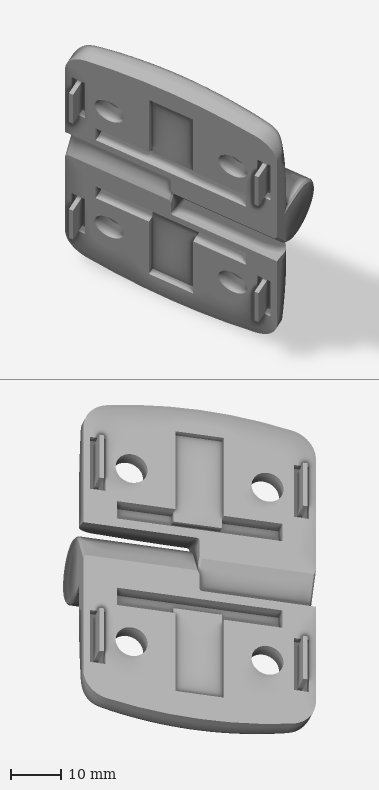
import cadquery as cq
import math

length = 71.5
half_length = length / 2
width = 48.0
half_width = width / 2
margin = 0.1


end_arc_radius = 99.0
corner_radius = 6.0

dome_height = 7.9
shoulder_radius = 3.9
side_wall_height = 2.85
bend_start = 12.0
bend_radius = 102.25
bend_sweep = 30.0
rim_fillet = 1.3

barrel_radius = 6.9
axis_height = 8.95
heel_edge = 1.4
knuckle_chamfer = 0.4
root_fillet = 1.0
plate_start = 5.7

clearance_edge = 6.1
clearance_angle = 15.0
clearance_fillet = 0.6

hole_x = 14.0
hole_z = 20.0
hole_diameter = 6.6
bore_depth = 3.5
head_diameter = 13.0

pad_width = 10.0
pad_near = 10.0
pad_far = 30.0
pad_depth = 1.5
cross_width = 34.1
cross_near = 8.0
cross_far = 12.0
cross_depth = 3.0

tab_x = 21.0
tab_thickness = 0.9
tab_length = 9.95
tab_projection = 3.0
slot_width = 3.15
slot_length = 12.0
slot_depth = 1.5


def box(x_range, y_range, z_range):
    """Block filling the given ranges."""
    size = [high - low for low, high in (x_range, y_range, z_range)]
    return cq.Workplane("XY").box(*size, centered=False).translate((x_range[0], y_range[0], z_range[0]))


def leaf_outline():
    """Plate outline, extruded well past the dome."""
    arc_center_z = half_length - end_arc_radius
    corner_x = half_width - corner_radius
    corner_z = arc_center_z + math.sqrt((end_arc_radius - corner_radius) ** 2 - corner_x**2)
    lean = math.asin(corner_x / (end_arc_radius - corner_radius))
    end_x = end_arc_radius * math.sin(lean)
    end_z = arc_center_z + end_arc_radius * math.cos(lean)
    mid = (math.pi / 2 + lean) / 2
    mid_x = corner_x + corner_radius * math.sin(mid)
    mid_z = corner_z + corner_radius * math.cos(mid)
    return (
        cq.Workplane("XZ")
        .moveTo(-half_width, 0)
        .lineTo(half_width, 0)
        .lineTo(half_width, corner_z)
        .threePointArc((mid_x, mid_z), (end_x, end_z))
        .threePointArc((0, half_length), (-end_x, end_z))
        .threePointArc((-mid_x, mid_z), (-half_width, corner_z))
        .close()
        .extrude(-2 * dome_height)
    )


def dome_section(plane, floor):
    """Cross-section of the dome: side walls, rounded shoulders and a crown arc tangent to them."""
    center_x = half_width - shoulder_radius
    drop = dome_height - side_wall_height
    crown_radius = (center_x**2 + drop**2 - shoulder_radius**2) / (2 * (drop - shoulder_radius))
    crown_lean = math.asin(center_x / (crown_radius - shoulder_radius))
    crown_x = center_x + shoulder_radius * math.sin(crown_lean)
    crown_y = side_wall_height + shoulder_radius * math.cos(crown_lean)
    mid_lean = (crown_lean + math.pi / 2) / 2
    mid_x = center_x + shoulder_radius * math.sin(mid_lean)
    mid_y = side_wall_height + shoulder_radius * math.cos(mid_lean)
    return (
        cq.Workplane(plane)
        .moveTo(-half_width, floor)
        .lineTo(half_width, floor)
        .lineTo(half_width, side_wall_height)
        .threePointArc((mid_x, mid_y), (crown_x, crown_y))
        .threePointArc((0, dome_height), (-crown_x, crown_y))
        .threePointArc((-mid_x, mid_y), (-half_width, side_wall_height))
        .close()
    )


def dome_body():
    """Dome section run straight along Z, then bent down towards the mounting face."""
    straight = dome_section("XY", 0).extrude(bend_start)
    pivot_y = dome_height - bend_radius
    bend_plane = cq.Plane((0, 0, bend_start), (1, 0, 0), (0, 0, 1))
    bent = dome_section(bend_plane, -dome_height).revolve(bend_sweep, (0, pivot_y, 0), (1, pivot_y, 0))
    return straight.union(bent)


def plate():
    """Domed plate with its outer rim rounded."""
    body = leaf_outline().intersect(dome_body())
    rim = [edge for edge in body.edges("%BSPLINE").vals() if edge.Center().z > bend_start]
    return body.newObject(rim).fillet(rim_fillet)


def knuckle():
    """Half-width barrel with a tangent heel running back to the mounting face."""
    heel_distance = math.hypot(axis_height, heel_edge)
    heel_angle = math.atan2(heel_edge, axis_height) + math.asin(barrel_radius / heel_distance)
    heel_run = math.sqrt(heel_distance**2 - barrel_radius**2)
    tangent_y = heel_run * math.cos(heel_angle)
    tangent_z = heel_edge - heel_run * math.sin(heel_angle)
    body = (
        cq.Workplane("YZ")
        .moveTo(0, heel_edge)
        .lineTo(tangent_y, tangent_z)
        .threePointArc((axis_height + barrel_radius, 0), (axis_height, barrel_radius))
        .lineTo(0, barrel_radius)
        .close()
        .extrude(half_width)
    )
    mounting_edges = cq.selectors.BoxSelector((-margin, -margin, -length), (width, margin, length))
    return body.faces("|X").edges(cq.selectors.InverseSelector(mounting_edges)).chamfer(knuckle_chamfer)


def clearance():
    """Sloped relief that lets the other leaf's knuckle turn."""
    rise = 2 * dome_height * math.tan(math.radians(clearance_angle))
    return (
        cq.Workplane("YZ")
        .moveTo(0, 0)
        .lineTo(0, clearance_edge)
        .lineTo(2 * dome_height, clearance_edge + rise)
        .lineTo(2 * dome_height, 0)
        .close()
        .extrude(-half_width)
    )


def root_band():
    """Concave blend between the flat side of the knuckle and the dome."""
    slab = box((-width, width), (0, 2 * dome_height), (0, barrel_radius))
    blended = slab.union(dome_section("XY", 0).extrude(bend_start))
    root_edges = cq.selectors.BoxSelector(
        (-half_width - margin, margin, barrel_radius - margin),
        (half_width + margin, dome_height + margin, barrel_radius + margin),
    )
    blended = blended.edges(root_edges).fillet(root_fillet)
    blend_x = (knuckle_chamfer, half_width - knuckle_chamfer)
    blend_z = (plate_start, barrel_radius + root_fillet)
    return blended.intersect(box(blend_x, (0, axis_height), blend_z))


def leaf_shell():
    """Plate and knuckle joined, with the corners between them rounded."""
    knuckle_side = box((0, half_width), (0, dome_height), (0, plate_start))
    body = plate().cut(knuckle_side).cut(clearance()).union(knuckle())
    middle_corner = cq.selectors.BoxSelector(
        (-margin, dome_height / 2 - margin, clearance_edge),
        (margin, dome_height / 2 + margin, clearance_edge + dome_height / 2),
    )
    body = body.edges(middle_corner).fillet(clearance_fillet)
    return body.union(root_band())


def recess():
    """T-shaped recess: a shallow pad above a deeper cross slot."""
    pad = box((-pad_width / 2, pad_width / 2), (0, pad_depth), (pad_near, pad_far))
    pad_block = box((-pad_width / 2, pad_width / 2), (0, cross_depth), (pad_near, pad_far))
    cross = box((-cross_width / 2, cross_width / 2), (0, cross_depth), (cross_near, cross_far))
    return cross.cut(pad_block).union(pad)


def tab_slot():
    """Shallow slot that surrounds the foot of a locating tab."""
    return box((-slot_width / 2, slot_width / 2), (0, slot_depth), (-slot_length / 2, slot_length / 2))


def tab():
    """Upright blade rising from the slot floor past the mounting face."""
    return box(
        (-tab_thickness / 2, tab_thickness / 2),
        (-tab_projection, slot_depth),
        (-tab_length / 2, tab_length / 2),
    )


def screw_hole():
    """Through bore opening into a 90 degree countersink with a short cylindrical land."""
    bore_radius = hole_diameter / 2
    head_radius = head_diameter / 2
    land_start = bore_depth + head_radius - bore_radius
    return (
        cq.Workplane("XY")
        .lineTo(bore_radius, 0)
        .lineTo(bore_radius, bore_depth)
        .lineTo(head_radius, land_start)
        .lineTo(head_radius, 2 * dome_height)
        .lineTo(0, 2 * dome_height)
        .close()
        .revolve(360, (0, 0, 0), (0, 1, 0))
    )


def leaf():
    """Upper leaf with its screw holes, recesses and locating tabs."""
    body = leaf_shell().cut(recess())
    for side in (-1, 1):
        tab_place = (side * tab_x, 0, hole_z)
        body = body.cut(screw_hole().translate((side * hole_x, 0, hole_z)))
        body = body.cut(tab_slot().translate(tab_place))
        body = body.union(tab().translate(tab_place))
    return body.solids()


leaves = [leaf().rotate((0, 0, 0), (0, 1, 0), turn) for turn in (0, 180)]

result = cq.Compound.makeCompound([leaf_body.val() for leaf_body in leaves])